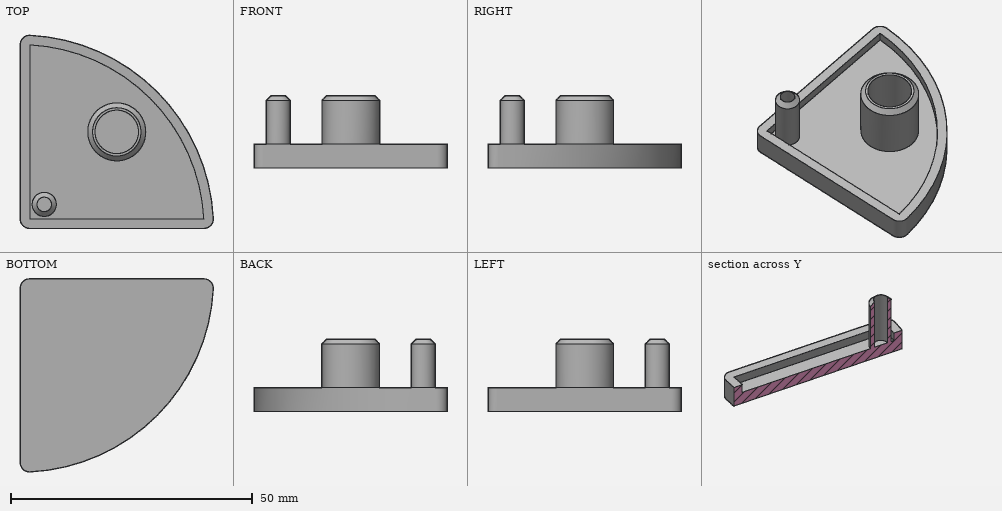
import cadquery as cq
import math

side = 39.95
rim = 2.0
base_height = 5.0
pocket_depth = 2.0
floor_height = base_height - pocket_depth
pocket_span = side - 2 * rim
wall_radius = side - rim

total_height = 15.0
post_chamfer = 1.0
boss_center = side / 2
boss_diameter = 12.0
boss_bore = 9.0
pin_center = 5.0
pin_diameter = 5.0
pin_bore = pin_diameter - 2 * post_chamfer


def quarter_outline():
    """Pocket outline: a square corner closed by a shallow arc."""
    corner = rim
    far_end = corner + pocket_span
    half_chord = pocket_span / math.sqrt(2)
    bulge = wall_radius - math.sqrt(wall_radius**2 - half_chord**2)
    arc_middle = corner + pocket_span / 2 + bulge / math.sqrt(2)
    return (
        cq.Workplane("XY")
        .moveTo(corner, corner)
        .lineTo(far_end, corner)
        .threePointArc((arc_middle, arc_middle), (corner, far_end))
        .close()
    )


def make_tray():
    """Base grown from the pocket outline by the rim width, which rounds its corners."""
    base = quarter_outline().offset2D(rim, "arc").extrude(base_height)
    pocket = quarter_outline().extrude(pocket_depth).translate((0, 0, floor_height))
    return base.cut(pocket)


def make_post(center, diameter, bore):
    """Tube with a chamfered outer top edge, revolved about its own axis."""
    outer_radius = diameter / 2
    bore_radius = bore / 2
    top_radius = outer_radius - post_chamfer
    profile = (
        cq.Workplane("XZ")
        .moveTo(bore_radius, floor_height)
        .lineTo(outer_radius, floor_height)
        .lineTo(outer_radius, total_height - post_chamfer)
        .lineTo(top_radius, total_height)
    )
    if top_radius > bore_radius:
        profile = profile.lineTo(bore_radius, total_height)
    post = profile.close().revolve(360, (0, 0, 0), (0, 1, 0))
    return post.translate((center, center, 0))


boss = make_post(boss_center, boss_diameter, boss_bore)
pin = make_post(pin_center, pin_diameter, pin_bore)
result = make_tray().union(boss).union(pin)